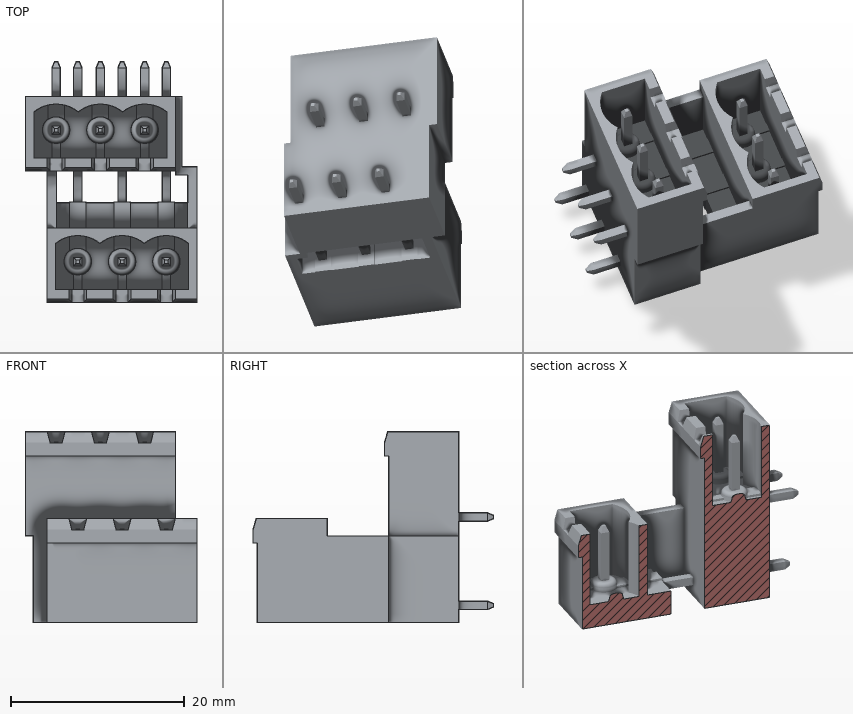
import cadquery as cq

POSITIONS = 3
OVERALL_WIDTH = 19.78
OVERALL_HEIGHT = 22.0
SIDE_WALL = 1.0
ROW_SHIFT_X = 2.5
ROW_SHIFT_Y = 15.12
ROW_SHIFT_Z = 10.0
TAIL_END_Y = 27.7

BLOCK_WIDTH = OVERALL_WIDTH - ROW_SHIFT_X
BLOCK_DEPTH = 8.6
BLOCK_HEIGHT = OVERALL_HEIGHT - ROW_SHIFT_Z
LIP_OVERHANG = 0.5
LIP_HEIGHT = 2.83
LIP_CHAMFER_DEPTH = 0.4
LIP_CHAMFER_HEIGHT = 1.3

CAVITY_WIDTH = BLOCK_WIDTH - 2 * SIDE_WALL
CAVITY_FRONT = 1.52
CAVITY_CORNER = 6.8
CAVITY_PEAK = 7.7
CAVITY_FLOOR = 3.0
KEY_TOP_WIDTH = 2.05
KEY_FLOOR_WIDTH = 1.38

CONTACT_Y = 4.7
BOSS_BASE_DIAMETER = 3.15
BOSS_DIAMETER = 3.0
BOSS_HEIGHT = 1.0
BOSS_ROUND = 0.5
RIB_HEIGHT = 0.28
FRONT_RIB_WIDTH = 1.0
REAR_RIB_WIDTH = 1.88

COLUMN_LEFT = 0.91
COLUMN_RIGHT = 18.03
BRIDGE_WALL = 1.1
FLANGE_THICKNESS = 0.97
LEDGE_BACK = 11.5
LEDGE_RIB_BACK = 11.58

PIN_SIZE = 1.0
LOWER_TAIL_Z = 2.0
UPPER_TAIL_Z = 12.15
PIN_TIP_DROP = 1.22
TIP_SIZE = 0.4
TIP_LENGTH = 0.72

COLUMN_FRONT = ROW_SHIFT_Y + LIP_OVERHANG
COLUMN_BACK = ROW_SHIFT_Y + BLOCK_DEPTH
LOWER_ROW = (ROW_SHIFT_X, 0, 0)
UPPER_ROW = (0, ROW_SHIFT_Y, ROW_SHIFT_Z)
CONTACT_XS = [SIDE_WALL + (i + 0.5) * CAVITY_WIDTH / POSITIONS for i in range(POSITIONS)]


def box(x0, x1, y0, y1, z0, z1):
    return cq.Workplane("XY").box(x1 - x0, y1 - y0, z1 - z0, centered=False).translate((x0, y0, z0))


def block_body():
    """Side profile with the chamfered overhanging lip, extruded along X."""
    lip_bottom = BLOCK_HEIGHT - LIP_HEIGHT
    profile = [
        (LIP_OVERHANG, 0),
        (BLOCK_DEPTH, 0),
        (BLOCK_DEPTH, BLOCK_HEIGHT),
        (LIP_CHAMFER_DEPTH, BLOCK_HEIGHT),
        (0, BLOCK_HEIGHT - LIP_CHAMFER_HEIGHT),
        (0, lip_bottom),
        (LIP_OVERHANG, lip_bottom),
    ]
    return cq.Workplane("YZ").polyline(profile).close().extrude(BLOCK_WIDTH)


def plug_cavity():
    """Pocket with one scallop in its back wall for each contact."""
    left = SIDE_WALL
    right = SIDE_WALL + CAVITY_WIDTH
    scallop = CAVITY_WIDTH / POSITIONS
    outline = cq.Workplane("XY").workplane(offset=CAVITY_FLOOR)
    outline = outline.moveTo(right, CAVITY_FRONT).lineTo(left, CAVITY_FRONT).lineTo(left, CAVITY_CORNER)
    for x in CONTACT_XS:
        outline = outline.threePointArc((x, CAVITY_PEAK), (x + scallop / 2, CAVITY_CORNER))
    return outline.close().extrude(BLOCK_HEIGHT - CAVITY_FLOOR)


def keying_notch(x):
    """Tapered notch through the front wall, down to the foot of the lip chamfer."""
    floor = BLOCK_HEIGHT - LIP_CHAMFER_HEIGHT
    profile = [
        (x - KEY_FLOOR_WIDTH / 2, floor),
        (x + KEY_FLOOR_WIDTH / 2, floor),
        (x + KEY_TOP_WIDTH / 2, BLOCK_HEIGHT),
        (x - KEY_TOP_WIDTH / 2, BLOCK_HEIGHT),
    ]
    return cq.Workplane("XZ").polyline(profile).close().extrude(-CAVITY_FRONT)


def contact_support(x):
    """Tapered, rounded boss with a narrow rib in front and a wide rib behind, on the cavity floor."""
    flat_radius = BOSS_DIAMETER / 2 - BOSS_ROUND
    boss = (
        cq.Workplane("XZ")
        .lineTo(BOSS_BASE_DIAMETER / 2, 0)
        .lineTo(BOSS_DIAMETER / 2, BOSS_HEIGHT - BOSS_ROUND)
        .radiusArc((flat_radius, BOSS_HEIGHT), -BOSS_ROUND)
        .lineTo(0, BOSS_HEIGHT)
        .close()
        .revolve(360, (0, 0), (0, 1))
        .translate((x, CONTACT_Y, CAVITY_FLOOR))
    )
    rib_top = CAVITY_FLOOR + RIB_HEIGHT
    front_half = FRONT_RIB_WIDTH / 2
    rear_half = REAR_RIB_WIDTH / 2
    front_rib = box(x - front_half, x + front_half, CAVITY_FRONT, CONTACT_Y, CAVITY_FLOOR, rib_top)
    rear_rib = box(x - rear_half, x + rear_half, CONTACT_Y, CAVITY_PEAK, CAVITY_FLOOR, rib_top)
    return boss.union(front_rib).union(rear_rib)


def contact_block(position):
    block = block_body().cut(plug_cavity())
    for x in CONTACT_XS:
        block = block.cut(keying_notch(x)).union(contact_support(x))
    return block.translate(position)


def base():
    """Rear column, side walls and flange around the open window, and the ribbed ledge."""
    top = ROW_SHIFT_Z
    column = box(COLUMN_LEFT, COLUMN_RIGHT, COLUMN_FRONT, COLUMN_BACK, 0, top)
    left_wall = box(ROW_SHIFT_X, ROW_SHIFT_X + BRIDGE_WALL, BLOCK_DEPTH, COLUMN_FRONT, 0, top)
    right_wall = box(OVERALL_WIDTH - BRIDGE_WALL, OVERALL_WIDTH, BLOCK_DEPTH, COLUMN_FRONT, 0, top)
    flange = box(BLOCK_WIDTH, OVERALL_WIDTH, COLUMN_FRONT - FLANGE_THICKNESS, COLUMN_FRONT, 0, top)
    ledge = box(ROW_SHIFT_X, OVERALL_WIDTH, BLOCK_DEPTH, LEDGE_BACK, 0, CAVITY_FLOOR)
    joined = column.union(left_wall).union(right_wall).union(flange).union(ledge)
    half = REAR_RIB_WIDTH / 2
    for x in CONTACT_XS:
        center = ROW_SHIFT_X + x
        rib = box(center - half, center + half, BLOCK_DEPTH, LEDGE_RIB_BACK, 0, CAVITY_FLOOR + RIB_HEIGHT)
        joined = joined.union(rib)
    return joined


def leg(plane, start, length):
    """Square bar from a start point, ending in a blunt pyramid."""
    bar = cq.Workplane(plane, origin=start).rect(PIN_SIZE, PIN_SIZE).extrude(length - TIP_LENGTH)
    tip = (
        bar.faces(">Z" if plane == "XY" else ">Y")
        .workplane()
        .rect(PIN_SIZE, PIN_SIZE)
        .workplane(offset=TIP_LENGTH)
        .rect(TIP_SIZE, TIP_SIZE)
        .loft(combine=False)
    )
    return bar.union(tip)


def contact_pin(row, tail_z, x):
    """Right-angle pin: a vertical contact leg and a horizontal solder tail."""
    row_x, row_y, row_z = row
    center_x = row_x + x
    contact_y = row_y + CONTACT_Y
    bend_z = tail_z - PIN_SIZE / 2
    bend_y = contact_y - PIN_SIZE / 2
    tip_z = row_z + BLOCK_HEIGHT - PIN_TIP_DROP
    contact = leg("XY", (center_x, contact_y, bend_z), tip_z - bend_z)
    tail = leg("ZX", (center_x, bend_y, tail_z), TAIL_END_Y - bend_y)
    return contact.union(tail)


pins = [
    contact_pin(row, tail_z, x)
    for row, tail_z in ((LOWER_ROW, LOWER_TAIL_Z), (UPPER_ROW, UPPER_TAIL_Z))
    for x in CONTACT_XS
]

housing = contact_block(LOWER_ROW).union(contact_block(UPPER_ROW)).union(base())
for pin in pins:
    housing = housing.cut(pin)

result = cq.Compound.makeCompound([housing.val(), *[pin.val() for pin in pins]])